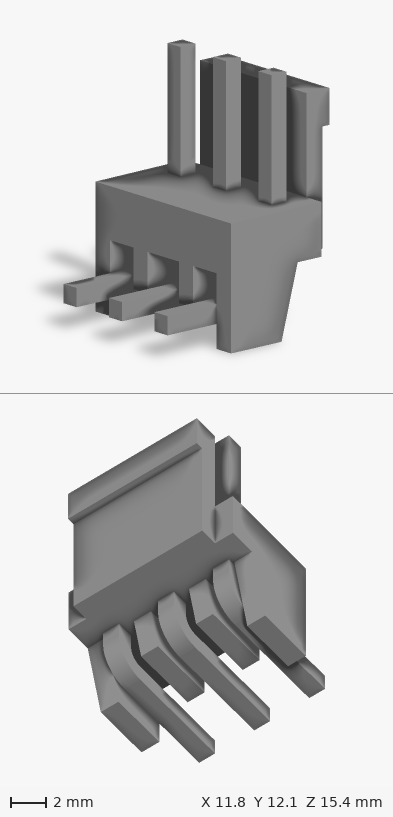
import cadquery as cq

width = 11.83
depth = 6.8
top_back = 7.73
top_front = 7.68
underside = 4.48
leg_back_top = 5.02
leg_back_bottom = 3.8
leg_thickness = 1.28
inner_width = width - 2 * leg_thickness

divider_width = 1.22
divider_bottom = 2.02

wall_back = 8.01
lip_back = 8.52
lip_bottom = 11.7
wall_top = 13.89

pin_count = 3
pitch = 3.96
pin_size = 1.14
pin_top = 15.4
pin_back = 5.37
tail_bottom = 1.43
tail_end = -3.59
bend_inner_radius = 0.85
bend_outer_radius = bend_inner_radius + pin_size


def centred_positions(count):
    """X positions of evenly pitched items centred on the part."""
    return [(i - (count - 1) / 2) * pitch for i in range(count)]


def extrude_across(profile, thickness, x=0):
    """Extrude a closed YZ profile along X, centred on x."""
    return profile.extrude(thickness / 2, both=True).translate((x, 0, 0))


def make_housing():
    """Full-width block with tapered legs, opened up between the dividers."""
    profile = cq.Workplane("YZ").polyline([
        (0, 0),
        (leg_back_bottom, 0),
        (leg_back_top, underside),
        (depth, underside),
        (depth, top_back),
        (0, top_front),
    ]).close()
    housing = extrude_across(profile, width)

    opening = cq.Workplane("XY").box(inner_width, depth, underside, centered=(True, False, False))
    for x in centred_positions(pin_count - 1):
        divider = cq.Workplane("XY").box(
            divider_width, depth, underside - divider_bottom, centered=(True, False, False)
        )
        opening = opening.cut(divider.translate((x, 0, divider_bottom)))
    return housing.cut(opening)


def make_latch_wall():
    """Upright wall behind the housing with a lip along its upper back edge."""
    profile = cq.Workplane("YZ").polyline([
        (depth, underside),
        (wall_back, underside),
        (wall_back, lip_bottom),
        (lip_back, lip_bottom),
        (lip_back, wall_top),
        (depth, wall_top),
    ]).close()
    return extrude_across(profile, inner_width)


def make_pin(x):
    """Square pin bent at a right angle toward the front."""
    bend_y = pin_back - bend_outer_radius
    bend_z = tail_bottom + bend_outer_radius
    pin_front = pin_back - pin_size
    tail_top = tail_bottom + pin_size
    profile = (
        cq.Workplane("YZ")
        .moveTo(pin_back, pin_top)
        .lineTo(pin_back, bend_z)
        .radiusArc((bend_y, tail_bottom), bend_outer_radius)
        .lineTo(tail_end, tail_bottom)
        .lineTo(tail_end, tail_top)
        .lineTo(bend_y, tail_top)
        .radiusArc((pin_front, bend_z), -bend_inner_radius)
        .lineTo(pin_front, pin_top)
        .close()
    )
    return extrude_across(profile, pin_size, x)


result = make_housing().union(make_latch_wall())
for pin_x in centred_positions(pin_count):
    result = result.union(make_pin(pin_x))